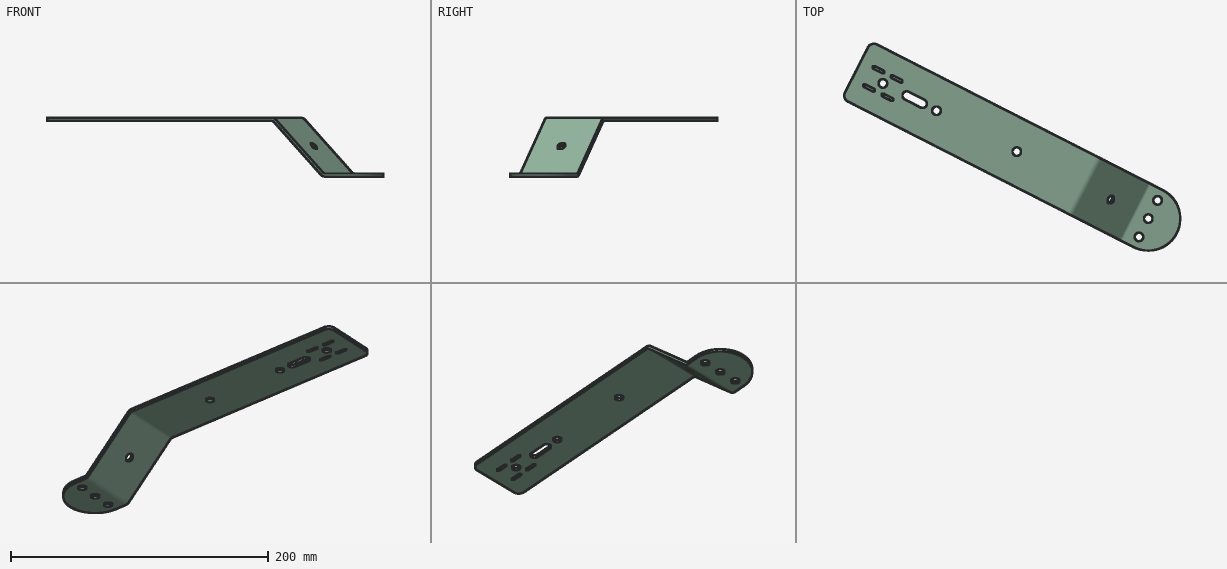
import cadquery as cq
import math

thickness = 2.5
height = 46.0
width = 50.0
end_radius = width / 2
strip_length = 279.7
plate_end = end_radius - strip_length
corner_radius = 5.2
heading = -27.0

bend_angle = 45.0
inner_bend_radius = 3.1
outer_bend_radius = inner_bend_radius + thickness
lower_bend_start = -10.0

hole_diameter = 6.5
tab_hole_pitch = 16.0
mount_x = -231.5
plate_hole_offsets = (0, 46.8, 116.8)
small_slot_length = 10.0
small_slot_width = 2.0
small_slot_offset = tab_hole_pitch / 2
large_slot_length = 20.5
large_slot_width = 6.5
large_slot_offset = 27.7

sine = math.sin(math.radians(bend_angle))
cosine = math.cos(math.radians(bend_angle))
half_sine = math.sin(math.radians(bend_angle / 2))
half_cosine = math.cos(math.radians(bend_angle / 2))

bend_radius_sum = inner_bend_radius + outer_bend_radius
web_drop = height - thickness - bend_radius_sum * (1 - cosine)
web_run = web_drop / math.tan(math.radians(bend_angle))
upper_bend_start = lower_bend_start - web_run - bend_radius_sum * sine
lower_bend_center = (lower_bend_start, thickness + inner_bend_radius)
upper_bend_center = (upper_bend_start, height - outer_bend_radius)


def upper_bend_point(radius, across, up):
    return (upper_bend_center[0] + radius * across, upper_bend_center[1] + radius * up)


def lower_bend_point(radius, across, up):
    return (lower_bend_center[0] - radius * across, lower_bend_center[1] - radius * up)


def bent_strip():
    inner = inner_bend_radius
    outer = outer_bend_radius
    profile = (
        cq.Workplane("XZ")
        .moveTo(plate_end, height)
        .lineTo(*upper_bend_point(outer, 0, 1))
        .threePointArc(
            upper_bend_point(outer, half_sine, half_cosine),
            upper_bend_point(outer, sine, cosine),
        )
        .lineTo(*lower_bend_point(inner, sine, cosine))
        .threePointArc(
            lower_bend_point(inner, half_sine, half_cosine),
            lower_bend_point(inner, 0, 1),
        )
        .lineTo(end_radius, thickness)
        .lineTo(end_radius, 0)
        .lineTo(*lower_bend_point(outer, 0, 1))
        .threePointArc(
            lower_bend_point(outer, half_sine, half_cosine),
            lower_bend_point(outer, sine, cosine),
        )
        .lineTo(*upper_bend_point(inner, sine, cosine))
        .threePointArc(
            upper_bend_point(inner, half_sine, half_cosine),
            upper_bend_point(inner, 0, 1),
        )
        .lineTo(plate_end, height - thickness)
        .close()
    )
    return profile.extrude(width / 2, both=True)


def rounded_outline():
    """Plan outline: small corners on the plate end, full round on the tab."""
    body = (
        cq.Workplane("XY")
        .moveTo(plate_end, -width / 2)
        .lineTo(0, -width / 2)
        .threePointArc((end_radius, 0), (0, width / 2))
        .lineTo(plate_end, width / 2)
        .close()
        .extrude(height)
    )
    return body.edges("|Z and <X").fillet(corner_radius)


def vertical_cuts():
    hole_centers = [(mount_x + offset, 0) for offset in plate_hole_offsets]
    hole_centers += [(0, row * tab_hole_pitch) for row in (-1, 0, 1)]
    small_slot_centers = [
        (mount_x + side_x * small_slot_offset, side_y * small_slot_offset)
        for side_x in (-1, 1)
        for side_y in (-1, 1)
    ]
    base = cq.Workplane("XY")
    holes = base.pushPoints(hole_centers).circle(hole_diameter / 2).extrude(height)
    small_slots = (
        base.pushPoints(small_slot_centers)
        .slot2D(small_slot_length, small_slot_width)
        .extrude(height)
    )
    large_slot = (
        base.center(mount_x + large_slot_offset, 0)
        .slot2D(large_slot_length, large_slot_width)
        .extrude(height)
    )
    return holes.union(small_slots).union(large_slot)


def web_hole():
    """Hole through the middle of the sloped web, square to its faces."""
    web_middle = (
        (upper_bend_center[0] + lower_bend_center[0]) / 2,
        0,
        (upper_bend_center[1] + lower_bend_center[1]) / 2,
    )
    web_plane = cq.Plane(origin=web_middle, xDir=(0, 1, 0), normal=(sine, 0, cosine))
    return cq.Workplane(web_plane).circle(hole_diameter / 2).extrude(thickness, both=True)


strip = bent_strip().intersect(rounded_outline())
strip = strip.cut(vertical_cuts()).cut(web_hole())
result = strip.rotate((0, 0, 0), (0, 0, 1), heading)